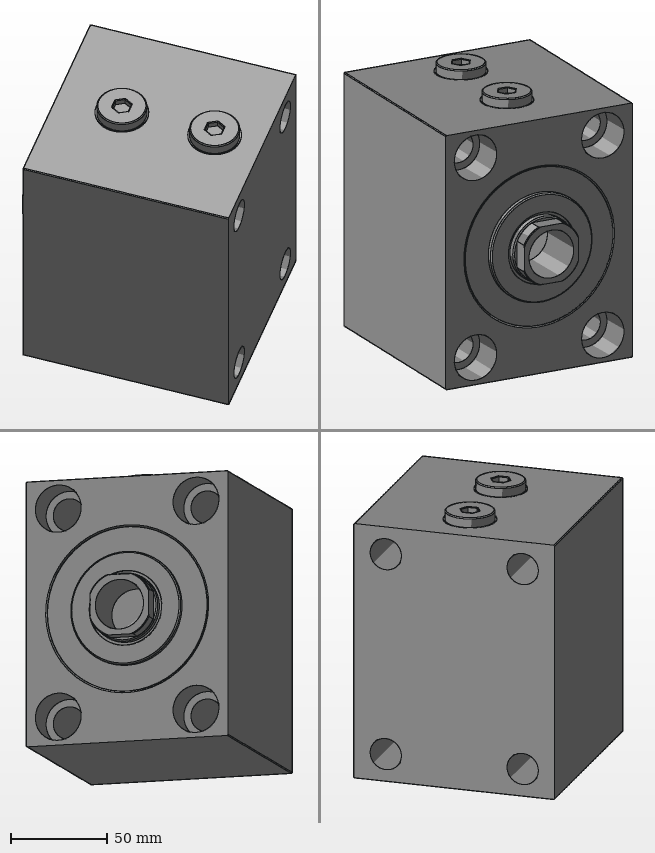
import cadquery as cq
import math


overall_height = 144.9

block_length = 112.6
block_width = 110.0
block_height = 140.0
block_edge_chamfer = 0.5
bolt_spacing_y = 74.9
bolt_spacing_z = 110.0
bolt_hole_diameter = 17.1
bolt_head_diameter = 24.9
bolt_head_depth = 18.8
bore_diameter = 87.0
bore_chamfer = 0.9

gland_depth = 29.0
gland_collar_diameter = 59.8
gland_collar_height = 3.0
gland_collar_chamfer = 0.7
wiper_recess_diameter = 39.4
wiper_recess_depth = 1.3

rod_diameter = 36.2
rod_chamfer = 0.7
rod_nose_diameter = 35.0
rod_nose_chamfer = 0.5
rod_nose_length = 8.0
rod_protrusion = 13.5
rod_flats_width = 31.9
rod_hole_diameter = 26.2
rod_hole_depth = 29.0
drill_point_angle = 118.0

plug_positions_x = (35.6, 86.5)
plug_diameter = 26.1
plug_height = overall_height - block_height
plug_chamfer = 0.6
plug_depth = 1.5
spotface_diameter = 28.0
spotface_depth = 0.5
plug_hex_width = 8.7
plug_hex_depth = 3.2
plug_hex_chamfer = 0.5

top_z = block_height / 2


def disc(start_x, end_x, diameter):
    """Cylinder on the X axis from start_x to end_x."""
    return cq.Workplane("YZ", origin=(start_x, 0, 0)).circle(diameter / 2).extrude(end_x - start_x)


def make_block():
    block = cq.Workplane("XY").box(block_length, block_width, block_height)
    block = block.translate((block_length / 2, 0, 0)).edges("|X").chamfer(block_edge_chamfer)
    block = (
        block.faces("<X").workplane(origin=(0, 0, 0))
        .rect(bolt_spacing_y, bolt_spacing_z, forConstruction=True).vertices()
        .cboreHole(bolt_hole_diameter, bolt_head_diameter, bolt_head_depth)
    )
    block = block.cut(disc(0, gland_depth, bore_diameter))
    bore_radius = bore_diameter / 2
    bore_mouth = cq.Solid.makeCone(
        bore_radius + bore_chamfer, bore_radius, bore_chamfer, dir=cq.Vector(1, 0, 0)
    )
    block = block.cut(cq.Workplane(bore_mouth))
    plug_seats = cq.Workplane("XY", origin=(0, 0, top_z)).pushPoints([(x, 0) for x in plug_positions_x])
    block = block.cut(plug_seats.circle(spotface_diameter / 2).extrude(-spotface_depth))
    return block.cut(plug_seats.circle(plug_diameter / 2).extrude(-plug_depth))


def make_gland():
    collar = disc(-gland_collar_height, 0, gland_collar_diameter).faces("<X").chamfer(gland_collar_chamfer)
    gland = disc(0, gland_depth, bore_diameter).union(collar)
    gland = gland.cut(disc(-gland_collar_height, gland_depth, rod_diameter))
    recess_floor = wiper_recess_depth - gland_collar_height
    return gland.cut(disc(-gland_collar_height, recess_floor, wiper_recess_diameter))


def make_rod():
    shoulder_x = rod_nose_length - rod_protrusion
    shaft = disc(shoulder_x, gland_depth, rod_diameter).faces("<X").chamfer(rod_chamfer)
    nose = disc(-rod_protrusion, shoulder_x, rod_nose_diameter).faces("<X").chamfer(rod_nose_chamfer)
    flats = cq.Workplane("YZ", origin=(-rod_protrusion, 0, 0))
    flats = flats.rect(rod_flats_width, rod_flats_width).extrude(rod_nose_length)
    rod = shaft.union(nose.intersect(flats))
    radius = rod_hole_diameter / 2
    cone_start_x = rod_hole_depth - rod_protrusion
    cone_tip_x = cone_start_x + radius / math.tan(math.radians(drill_point_angle / 2))
    drill = (
        cq.Workplane("XY")
        .polyline([(-rod_protrusion, 0), (-rod_protrusion, radius), (cone_start_x, radius), (cone_tip_x, 0)])
        .close().revolve(360, (0, 0, 0), (1, 0, 0))
    )
    return rod.cut(drill)


def make_plug(x):
    plug = cq.Workplane("XY", origin=(x, 0, top_z - plug_depth)).circle(plug_diameter / 2)
    plug = plug.extrude(plug_depth + plug_height).faces(">Z").chamfer(plug_chamfer)
    corner_per_flat = 1 / math.cos(math.radians(30))
    socket_plane = cq.Workplane("XY", origin=(x, 0, top_z + plug_height)).transformed(rotate=(0, 0, 90))
    hex_socket = socket_plane.polygon(6, plug_hex_width * corner_per_flat).extrude(-plug_hex_depth)
    mouth_width = plug_hex_width + 2 * plug_hex_chamfer
    socket_mouth = (
        socket_plane.polygon(6, mouth_width * corner_per_flat)
        .workplane(offset=-plug_hex_chamfer).polygon(6, plug_hex_width * corner_per_flat).loft()
    )
    return plug.cut(hex_socket).cut(socket_mouth)


block = make_block()
gland = make_gland()
rod = make_rod()
plugs = [make_plug(x) for x in plug_positions_x]

result = cq.Compound.makeCompound([block.val(), gland.val(), rod.val(), *[plug.val() for plug in plugs]])